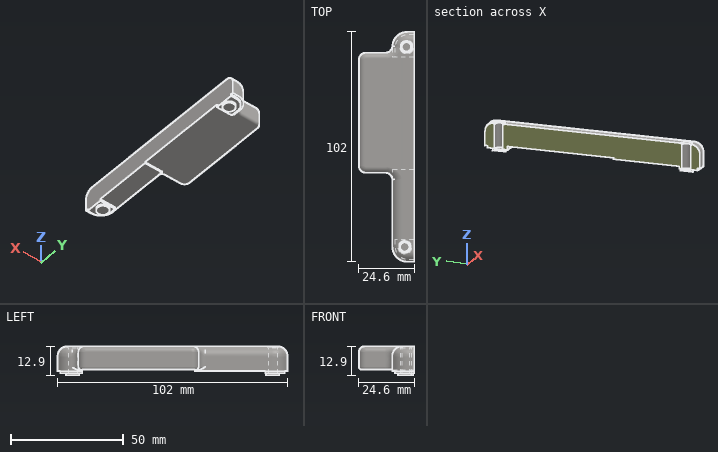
import cadquery as cq
import math


RAIL_LENGTH = 102.0
RAIL_WIDTH = 9.8
RAIL_HEIGHT = 11.0
RAIL_CORNER_RADIUS = 6.8
RAIL_TOP_RADIUS = 4.5

TOTAL_WIDTH = 24.6
GRIP_Y_MIN = -11.5
GRIP_Y_MAX = 41.7
GRIP_BOTTOM = 0.6
GRIP_TOP_DROP = 0.01
GRIP_TOP = RAIL_HEIGHT - GRIP_TOP_DROP
GRIP_CORNER_RADIUS = 3.1
GRIP_TOP_RADIUS = 2.5
GRIP_BOTTOM_RADIUS = 1.2

FLARE_RADIUS = 3.0
FLARE_DEPTH = 7.1
FLARE_STEPS = 6

PAD_HEIGHT = 0.97
PAD_INSET = 1.2
FRONT_PAD_END = -41.0
RELIEF_Y_MIN = -9.9
RELIEF_Y_MAX = 40.0

HOLE_DIAMETER = 4.1
HOLE_CHAMFER = 0.6
PIN_DIAMETER = 6.0
PIN_HEIGHT = 0.97
PIN_POSITIONS = [(-4.3, -44.4), (-3.5, 44.3)]


def block(x_min, x_max, y_min, y_max, z_min, z_max):
    """Box between the given limits."""
    size = (x_max - x_min, y_max - y_min, z_max - z_min)
    return cq.Workplane("XY").box(*size, centered=False).translate((x_min, y_min, z_min))


def rounded_bar(inset, z_min, z_max):
    """Bar along the rail, set in from the rail outline on every side but the back."""
    half_length = RAIL_LENGTH / 2 - inset
    bar = block(inset - RAIL_WIDTH, 0, -half_length, half_length, z_min, z_max)
    return bar.edges("|Z and <X").fillet(RAIL_CORNER_RADIUS - inset)


def make_rail():
    """Rail with its top edge rounded everywhere but along the back face."""
    rail = rounded_bar(0, 0, RAIL_HEIGHT)
    return rail.faces(">Z").edges("not(>X)").fillet(RAIL_TOP_RADIUS)


def make_grip():
    """Grip block, reaching into the rail as far as its middle."""
    grip = block(-TOTAL_WIDTH, -RAIL_WIDTH / 2, GRIP_Y_MIN, GRIP_Y_MAX, GRIP_BOTTOM, GRIP_TOP)
    grip = grip.edges("|Z and <X").fillet(GRIP_CORNER_RADIUS)
    grip = grip.faces(">Z").edges("not(>X)").fillet(GRIP_TOP_RADIUS)
    return grip.faces("<Z").edges("not(>X)").fillet(GRIP_BOTTOM_RADIUS)


def flare_section(center, side, angle, top_radius):
    """Upright section of a flare, in the plane at this angle from the grip end toward +X."""
    outward = cq.Vector(math.sin(angle), -side * math.cos(angle), 0)
    plane = cq.Plane(origin=center, xDir=outward, normal=outward.cross(cq.Vector(0, 0, 1)))
    wall = FLARE_RADIUS
    inner = FLARE_RADIUS + FLARE_DEPTH
    diagonal = 1 - math.sqrt(0.5)
    return (
        cq.Workplane(plane)
        .moveTo(wall, GRIP_BOTTOM + GRIP_BOTTOM_RADIUS)
        .lineTo(wall, GRIP_TOP - top_radius)
        .threePointArc(
            (wall + diagonal * top_radius, GRIP_TOP - diagonal * top_radius),
            (wall + top_radius, GRIP_TOP),
        )
        .lineTo(inner, GRIP_TOP)
        .lineTo(inner, GRIP_BOTTOM)
        .lineTo(wall + GRIP_BOTTOM_RADIUS, GRIP_BOTTOM)
        .threePointArc(
            (wall + diagonal * GRIP_BOTTOM_RADIUS, GRIP_BOTTOM + diagonal * GRIP_BOTTOM_RADIUS),
            (wall, GRIP_BOTTOM + GRIP_BOTTOM_RADIUS),
        )
        .close()
        .wire()
        .val()
    )


def make_flare(grip_end, side):
    """Concave blend at one grip end; its top round grows from the grip's to the rail's.

    It ends where it is tangent to the rail wall, or to the rounded corner if it reaches that far.
    The side is -1 for the -Y end of the grip and 1 for its +Y end.
    """
    center_y = grip_end + side * FLARE_RADIUS
    corner_y = RAIL_LENGTH / 2 - RAIL_CORNER_RADIUS
    past_wall = max(0, abs(center_y) - corner_y)
    reach = FLARE_RADIUS + RAIL_CORNER_RADIUS
    center_x = RAIL_CORNER_RADIUS - RAIL_WIDTH - math.sqrt(reach**2 - past_wall**2)
    end_angle = math.pi / 2 - math.asin(past_wall / reach)
    end_radius = RAIL_TOP_RADIUS - GRIP_TOP_DROP
    sections = []
    for step in range(FLARE_STEPS + 1):
        share = step / FLARE_STEPS
        top_radius = GRIP_TOP_RADIUS + share**2 * (end_radius - GRIP_TOP_RADIUS)
        sections.append(flare_section((center_x, center_y, 0), side, share * end_angle, top_radius))
    return cq.Workplane(cq.Solid.makeLoft(sections))


def make_pads():
    """Step below each rail end, inset from the outline but flush with the back face."""
    pads = rounded_bar(PAD_INSET, -PAD_HEIGHT, 0)
    gap = block(-RAIL_WIDTH, 0, FRONT_PAD_END, RELIEF_Y_MAX, -PAD_HEIGHT, 0)
    return pads.cut(gap)


def make_hole(x, y):
    """Through hole with a chamfered mouth at the top of the rail."""
    radius = HOLE_DIAMETER / 2
    hole = (
        cq.Workplane("XY")
        .workplane(offset=-PAD_HEIGHT)
        .circle(radius)
        .extrude(RAIL_HEIGHT + PAD_HEIGHT)
    )
    mouth = cq.Solid.makeCone(
        radius, radius + HOLE_CHAMFER, HOLE_CHAMFER, cq.Vector(0, 0, RAIL_HEIGHT - HOLE_CHAMFER)
    )
    return hole.union(cq.Workplane(mouth)).translate((x, y, 0))


def make_housing():
    """Rail, grip and flares in one solid, relieved below the grip and drilled at both ends."""
    housing = make_rail().union(make_grip())
    housing = housing.union(make_flare(GRIP_Y_MIN, -1)).union(make_flare(GRIP_Y_MAX, 1))
    housing = housing.cut(block(-RAIL_WIDTH, 0, RELIEF_Y_MIN, RELIEF_Y_MAX, 0, GRIP_BOTTOM))
    housing = housing.union(make_pads())
    for x, y in PIN_POSITIONS:
        housing = housing.cut(make_hole(x, y))
    return housing.solids()


def make_pin(x, y):
    """Round pin under a pad, closing the hole above it."""
    pin = cq.Workplane("XY").circle(PIN_DIAMETER / 2).extrude(PIN_HEIGHT)
    return pin.translate((x, y, -PAD_HEIGHT - PIN_HEIGHT))


housing = make_housing()
pins = [make_pin(x, y) for x, y in PIN_POSITIONS]

result = cq.Compound.makeCompound([housing.val(), *[pin.val() for pin in pins]])